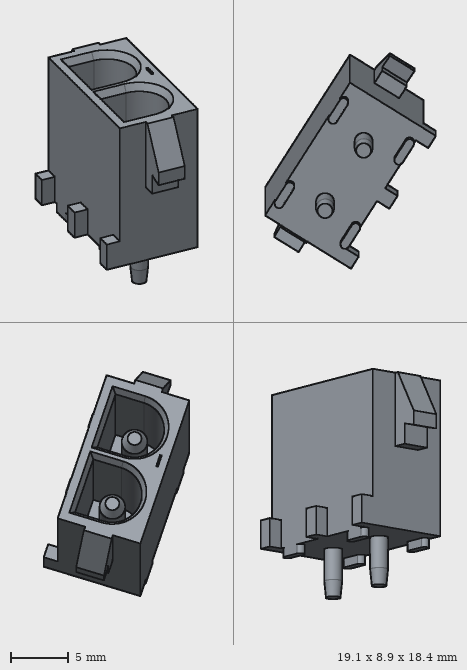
import cadquery as cq
import math

body_length = 13.96
body_depth = 7.62
body_height = 13.96
grid = 1.28

pitch = 6.35
contact_x = (-pitch / 2, pitch / 2)

socket_radius = 2.6
lead_in_width = 0.4
lead_in_depth = 0.69
socket_floor = 2.53

pin_radius = 1.12
pin_tip_radius = 0.61
pin_tip_length = 0.88
pin_top = body_height - 3.1
tail_radius = 0.8
tail_end_radius = 0.65
tail_straight = 2.84
tail_length = 4.32

foot_height = 2 * grid
middle_foot_width = 1.35

standoff_length = 2 * grid
standoff_width = 0.8
standoff_height = 0.82

overall_length = 19.05
latch_width = 2 * grid
latch_reach = (overall_length - body_length) / 2
latch_ramp_drop = 3.81
latch_ramp_angle = 30.0
latch_nose_height = 1.28
latch_undercut_rise = 0.32
latch_total_height = 6.6

mark_length = 1.07
mark_width = 0.15
mark_height = 0.1
mark_x = -0.8
mark_y = 3.01


def d_outline(plane, radius):
    """Square of side 2 * radius whose +Y side is a full half circle."""
    return (
        plane.moveTo(-radius, -radius)
        .lineTo(radius, -radius)
        .lineTo(radius, 0)
        .threePointArc((0, radius), (-radius, 0))
        .close()
    )


def make_socket(x):
    """Socket cavity with its flared lead-in."""
    origin = cq.Workplane("XY").center(x, 0)
    cavity = d_outline(origin.workplane(offset=socket_floor), socket_radius)
    cavity = cavity.extrude(body_height - socket_floor)
    mouth = d_outline(origin.workplane(offset=body_height), socket_radius + lead_in_width)
    flare_angle = math.degrees(math.atan2(lead_in_width, lead_in_depth))
    return cavity.union(mouth.extrude(-lead_in_depth, taper=flare_angle))


def make_pin(x):
    """Turned pin: wide contact with a conical tip above, thin tapered tail below."""
    return (
        cq.Workplane("XZ")
        .moveTo(0, -tail_length)
        .lineTo(tail_end_radius, -tail_length)
        .lineTo(tail_radius, -tail_straight)
        .lineTo(tail_radius, socket_floor / 2)
        .lineTo(pin_radius, socket_floor / 2)
        .lineTo(pin_radius, pin_top - pin_tip_length)
        .lineTo(pin_tip_radius, pin_top)
        .lineTo(0, pin_top)
        .close()
        .revolve(360, (0, 0), (0, 1))
        .translate((x, 0, 0))
    )


def make_foot(x, width):
    """Block standing out from the -Y face, level with the housing bottom."""
    foot = cq.Workplane("XY").box(width, grid, foot_height, centered=(True, False, False))
    return foot.translate((x, -body_depth / 2 - grid, 0))


def make_latch():
    """Hooked latch on the +X end."""
    inner_x = body_length / 2
    ramp_width = latch_ramp_drop * math.tan(math.radians(latch_ramp_angle))
    outer_x = inner_x + latch_reach
    stem_x = inner_x + grid
    nose_bottom = body_height - latch_ramp_drop - latch_nose_height
    latch_bottom = body_height - latch_total_height
    profile = [
        (inner_x, body_height),
        (outer_x - ramp_width, body_height),
        (outer_x, body_height - latch_ramp_drop),
        (outer_x, nose_bottom),
        (stem_x, nose_bottom + latch_undercut_rise),
        (stem_x, latch_bottom),
        (inner_x, latch_bottom),
    ]
    return cq.Workplane("XZ").polyline(profile).close().extrude(latch_width / 2, both=True)


result = cq.Workplane("XY").box(body_length, body_depth, body_height, centered=(True, True, False))
for x in contact_x:
    result = result.cut(make_socket(x))

end_foot_x = (body_length - grid) / 2
for x, width in ((-end_foot_x, grid), (0, middle_foot_width), (end_foot_x, grid)):
    result = result.union(make_foot(x, width))

latch = make_latch()
result = result.union(latch).union(latch.mirror("YZ"))

standoff_x = body_length / 2 - grid - standoff_length / 2
standoff_y = (body_depth - standoff_width) / 2
standoffs = (
    cq.Workplane("XY")
    .rarray(2 * standoff_x, 2 * standoff_y, 2, 2)
    .slot2D(standoff_length, standoff_width)
    .extrude(-standoff_height)
)
result = result.union(standoffs)

mark = cq.Workplane("XY").box(mark_length, mark_width, mark_height, centered=(True, True, False))
result = result.union(mark.translate((mark_x, mark_y, body_height)))

for x in contact_x:
    result = result.union(make_pin(x))